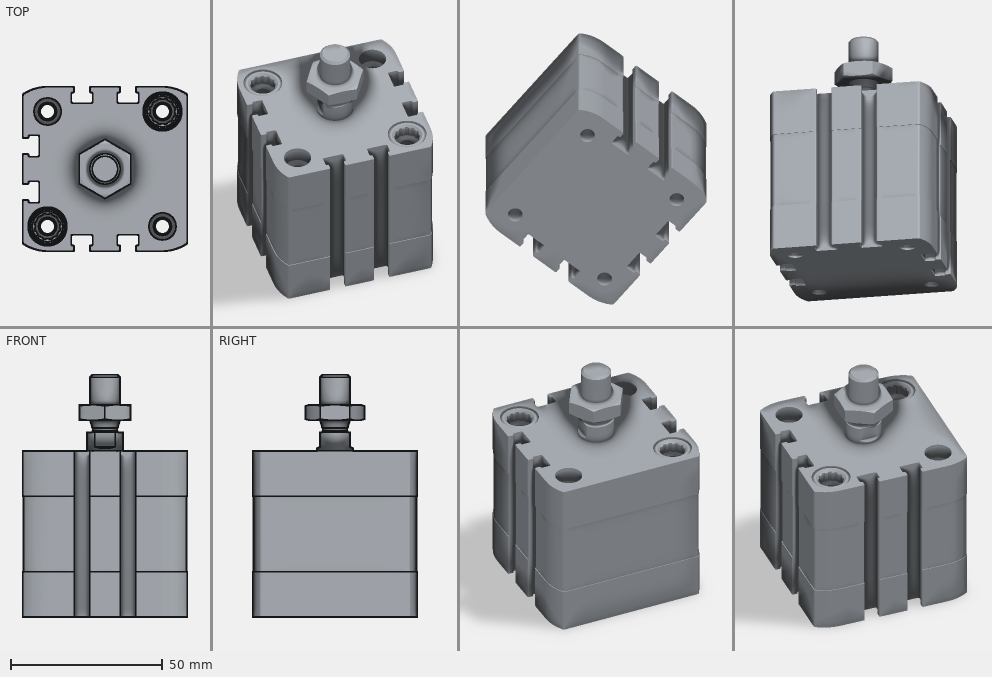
import cadquery as cq
import math

housing_width = 54.5
half_width = housing_width / 2
housing_top = 54.95
block_height = 15.0
head_bottom = housing_top - block_height
barrel_inset = 0.25

corner_arc_radius = 15.0
corner_arc_start = 18.8
corner_edge_fillet = 1.0

slot_offset = 7.6
slot_mouth_width = 5.2
slot_inner_width = 7.05
slot_lip_depth = 2.0
slot_depth = 5.45
slot_edge_radius = 0.4
slot_face_angles = (0, 180, -90)

hole_offset = 19.0
through_diameter = 4.9
countersink_diameter = 6.0
counterbore_diameter = 9.0
counterbore_depth = 5.2

socket_groove_diameter = 12.8
socket_groove_depth = 0.8
socket_head_diameter = 12.0
socket_head_drop = 0.25
socket_head_chamfer = 0.4
socket_mouth_diameter = 10.0
socket_land_diameter = 8.2
socket_root_diameter = 8.65
socket_depth = 4.4
spline_count = 12
spline_width = 1.1

rod_top = 80.1
rod_diameter = 12.0
rod_shoulder = 61.0
thread_diameter = 10.0
thread_chamfer = 0.8
neck_diameter = 8.2
neck_flare_diameter = 9.0
neck_flare_height = 0.5
neck_top = 62.4
thread_runout_diameter = 8.6
thread_runout_bottom = 62.6
thread_runout_radius = 10.0
flats_width = 10.0
flats_bottom = 56.3
flats_runout_height = 0.6

nut_width = 17.0
nut_bottom = 65.05
nut_height = 5.1
nut_bevel_height = 0.4


def cylinder_between(diameter, bottom, top):
    return cq.Workplane("XY").workplane(offset=bottom).circle(diameter / 2).extrude(top - bottom)


def turned(points):
    """Solid of revolution about Z from (radius, z) points."""
    return cq.Workplane("XZ").polyline(points).close().revolve(360, (0, 0), (0, 1))


def slot_cutter(inset, height):
    """T-slot in the -Y face, with a plate outside the face so that the mouth is rounded too."""
    face = half_width - inset
    floor = half_width - slot_depth
    lip = half_width - slot_lip_depth
    plate_width = slot_inner_width + 0.8
    plate_thickness = 1.6

    def bar(width, inner, outer):
        return (
            cq.Workplane("XY")
            .center(0, -(inner + outer) / 2)
            .rect(width, outer - inner)
            .extrude(height)
        )

    cutter = bar(slot_inner_width, floor, lip)
    cutter = cutter.union(bar(slot_mouth_width, floor, face))
    cutter = cutter.union(bar(plate_width, face, face + plate_thickness))
    return cutter.edges("|Z").fillet(slot_edge_radius)


def housing_section(bottom, height, inset):
    """One stretch of the housing: outline with arched corners, cut by the T-slots."""
    side = half_width - inset
    arc_radius = corner_arc_radius - inset
    arc_centre = half_width - corner_arc_radius
    reach = side - corner_arc_start
    arc_end = arc_centre + math.sqrt(arc_radius**2 - reach**2)

    section = (
        cq.Workplane("XY")
        .moveTo(-corner_arc_start, -side)
        .lineTo(corner_arc_start, -side)
        .radiusArc((side, -arc_end), -arc_radius)
        .lineTo(side, arc_end)
        .radiusArc((corner_arc_start, side), -arc_radius)
        .lineTo(-corner_arc_start, side)
        .radiusArc((-side, arc_end), -arc_radius)
        .lineTo(-side, -arc_end)
        .radiusArc((-corner_arc_start, -side), -arc_radius)
        .close()
        .extrude(height)
    )
    section = section.faces("<X or >X").edges("|Z").fillet(corner_edge_fillet)

    cutter = slot_cutter(inset, height)
    for angle in slot_face_angles:
        for offset in (-slot_offset, slot_offset):
            slot = cutter.translate((offset, 0, 0)).rotate((0, 0, 0), (0, 0, 1), angle)
            section = section.cut(slot)
    return section.translate((0, 0, bottom))


def through_hole(recess_depth):
    """Countersunk through hole that opens into a recess of the given depth."""
    hole_radius = through_diameter / 2
    mouth_radius = countersink_diameter / 2
    mouth = housing_top - recess_depth
    return turned([
        (0, 0),
        (hole_radius, 0),
        (hole_radius, mouth - (mouth_radius - hole_radius)),
        (mouth_radius, mouth),
        (0, mouth),
    ])


def counterbored_hole():
    counterbore = cylinder_between(counterbore_diameter, housing_top - counterbore_depth, housing_top)
    return through_hole(counterbore_depth).union(counterbore)


def socket_hole():
    """Ring groove around a sunk, chamfered head with a 12-spline socket, and the hole below."""
    head_radius = socket_head_diameter / 2
    head_top = housing_top - socket_head_drop
    groove_floor = housing_top - socket_groove_depth
    floor = housing_top - socket_depth
    land_radius = socket_land_diameter / 2
    mouth_radius = socket_mouth_diameter / 2

    recess = turned([
        (0, floor),
        (land_radius, floor),
        (land_radius, head_top - (mouth_radius - land_radius)),
        (mouth_radius, head_top),
        (head_radius - socket_head_chamfer, head_top),
        (head_radius, head_top - socket_head_chamfer),
        (head_radius, groove_floor),
        (socket_groove_diameter / 2, groove_floor),
        (socket_groove_diameter / 2, housing_top),
        (0, housing_top),
    ])
    bar = (
        cq.Workplane("XY")
        .workplane(offset=floor)
        .rect(socket_root_diameter, spline_width)
        .extrude(head_top - floor)
        .intersect(cylinder_between(socket_root_diameter, floor, head_top))
    )
    spline_pitch = 360 / spline_count
    for index in range(spline_count // 2):
        recess = recess.union(bar.rotate((0, 0, 0), (0, 0, 1), (index + 0.5) * spline_pitch))
    return through_hole(socket_depth).union(recess)


def make_housing():
    barrel_height = head_bottom - block_height
    body = housing_section(0, block_height, 0)
    body = body.union(housing_section(block_height, barrel_height, barrel_inset))
    body = body.union(housing_section(head_bottom, block_height, 0))

    plain, socket = counterbored_hole(), socket_hole()
    for side in (-1, 1):
        body = body.cut(plain.translate((side * hole_offset, -side * hole_offset, 0)))
        body = body.cut(socket.translate((side * hole_offset, side * hole_offset, 0)))

    rod_bore = cylinder_between(rod_diameter, head_bottom, housing_top)
    return body.cut(rod_bore)


def make_rod():
    rod_radius = rod_diameter / 2
    neck_radius = neck_diameter / 2
    thread_radius = thread_diameter / 2
    rod = (
        cq.Workplane("XZ")
        .moveTo(0, head_bottom)
        .lineTo(rod_radius, head_bottom)
        .lineTo(rod_radius, rod_shoulder)
        .lineTo(neck_flare_diameter / 2, rod_shoulder)
        .lineTo(neck_radius, rod_shoulder + neck_flare_height)
        .lineTo(neck_radius, neck_top)
        .lineTo(thread_runout_diameter / 2, thread_runout_bottom)
        .radiusArc((thread_radius, nut_bottom), thread_runout_radius)
        .lineTo(thread_radius, rod_top - thread_chamfer)
        .lineTo(thread_radius - thread_chamfer, rod_top)
        .lineTo(0, rod_top)
        .close()
        .revolve(360, (0, 0), (0, 1))
    )

    flat = flats_width / 2
    flat_cutter = (
        cq.Workplane("YZ")
        .polyline([
            (flat, rod_shoulder),
            (flat, flats_bottom),
            (rod_radius, flats_bottom - flats_runout_height),
            (rod_radius, rod_shoulder),
        ])
        .close()
        .extrude(rod_radius, both=True)
    )
    return rod.cut(flat_cutter).cut(flat_cutter.mirror("XZ"))


def make_nut():
    across_corners = nut_width / math.cos(math.radians(30))
    corner_radius = across_corners / 2
    flat_radius = nut_width / 2
    nut_top = nut_bottom + nut_height

    hexagon = (
        cq.Workplane("XY")
        .workplane(offset=nut_bottom)
        .polygon(6, across_corners)
        .extrude(nut_height)
        .rotate((0, 0, 0), (0, 0, 1), 30)
    )
    bevelled_disc = turned([
        (0, nut_bottom),
        (flat_radius, nut_bottom),
        (corner_radius, nut_bottom + nut_bevel_height),
        (corner_radius, nut_top - nut_bevel_height),
        (flat_radius, nut_top),
        (0, nut_top),
    ])
    return hexagon.intersect(bevelled_disc).cut(cylinder_between(thread_diameter, nut_bottom, nut_top))


housing = make_housing()
rod = make_rod()
nut = make_nut()

result = cq.Compound.makeCompound([housing.val(), rod.val(), nut.val()])